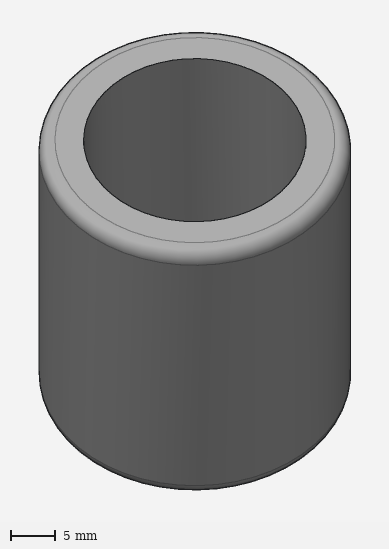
import cadquery as cq

length = 40.0
outer_diameter = 35.05
bore_diameter = 25.0
edge_radius = 1.8

body = cq.Workplane("XY").cylinder(length, outer_diameter / 2)
body = body.faces("<Z or >Z").edges().fillet(edge_radius)

bore = cq.Workplane("XY").cylinder(length, bore_diameter / 2)

result = body.cut(bore)